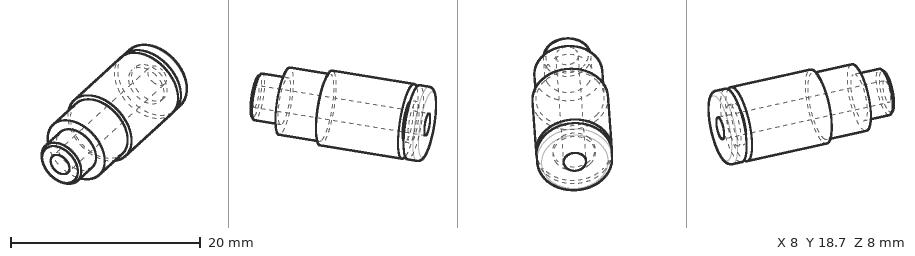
import cadquery as cq


plug_length = 3.1
shoulder_end = 7.52
body_end = 16.6
neck_end = 17.2
total_length = 18.7

plug_diameter = 5.01
shoulder_diameter = 7.2
body_diameter = 8.0
neck_diameter = 4.45
collar_diameter = 7.95
bore_diameter = 2.35

plug_chamfer = 0.26
body_chamfer_length = 0.13
collar_fillet = 0.47


def cylinder(diameter, start, end):
    """Solid cylinder on the Y axis between two axial positions."""
    plane = cq.Workplane("XZ", origin=(0, start, 0))
    return plane.circle(diameter / 2).extrude(start - end)


def make_body():
    """Main body whose front edge tapers down to the shoulder."""
    body_radius = body_diameter / 2
    return (
        cq.Workplane("XY")
        .moveTo(0, shoulder_end)
        .lineTo(shoulder_diameter / 2, shoulder_end)
        .lineTo(body_radius, shoulder_end + body_chamfer_length)
        .lineTo(body_radius, body_end)
        .lineTo(0, body_end)
        .close()
        .revolve(360, (0, 0, 0), (0, 1, 0))
    )


plug = cylinder(plug_diameter, 0, plug_length).faces("<Y").chamfer(plug_chamfer)
shoulder = cylinder(shoulder_diameter, plug_length, shoulder_end)
neck = cylinder(neck_diameter, body_end, neck_end)
collar = cylinder(collar_diameter, neck_end, total_length).faces(">Y").edges().fillet(collar_fillet)
bore = cylinder(bore_diameter, 0, total_length)

result = plug.union(shoulder).union(make_body()).union(neck).union(collar).cut(bore)